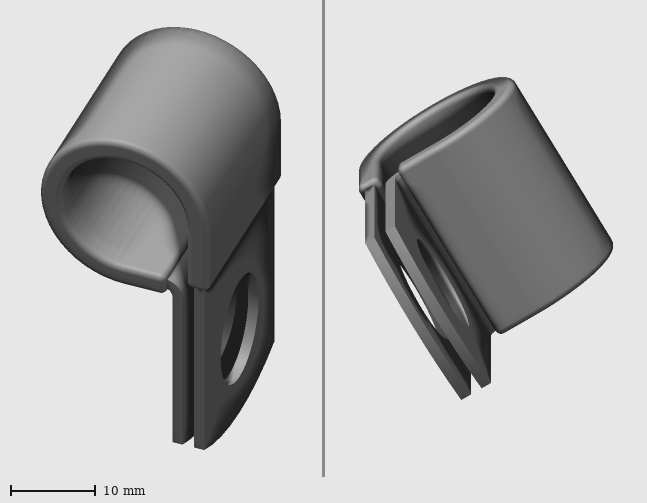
import cadquery as cq
import math

loop_radius = 21.5 / 2
cushion_length = 23.8
rubber = 0.75
outer_leg_end = -8.75
lower_leg_end = 5.3

strap_thickness = 1.3
strap_width = cushion_length - 2 * rubber
wall = strap_thickness + 2 * rubber
bore_radius = loop_radius - wall
strap_outer = loop_radius - rubber
strap_inner = strap_outer - strap_thickness

tab_gap = 1.5
tab_bottom = loop_radius - 46.45
tab_end_sagitta = 2.55
bend_inner_radius = 1.1
bend_outer_radius = bend_inner_radius + strap_thickness
bolt_hole_diameter = 12.0
outer_hole_height = 14.5
bolt_hole_z = -23.05

inner_tab_right = strap_inner - tab_gap
inner_tab_left = inner_tab_right - strap_thickness
bend_x = inner_tab_right - bend_outer_radius
bend_z = -strap_inner - bend_outer_radius
diagonal = math.sqrt(0.5)


def make_cushion():
    """Three-quarter ring with two straight legs and all rims rounded."""
    body = (
        cq.Workplane("XZ")
        .moveTo(loop_radius, outer_leg_end)
        .lineTo(loop_radius, 0)
        .threePointArc((-loop_radius * diagonal, loop_radius * diagonal), (0, -loop_radius))
        .lineTo(lower_leg_end, -loop_radius)
        .lineTo(lower_leg_end, -bore_radius)
        .lineTo(0, -bore_radius)
        .threePointArc((-bore_radius * diagonal, bore_radius * diagonal), (bore_radius, 0))
        .lineTo(bore_radius, outer_leg_end)
        .close()
        .extrude(cushion_length / 2, both=True)
    )
    outer_tip = cq.selectors.BoxSelector(
        (bore_radius - rubber, -cushion_length, outer_leg_end - rubber),
        (loop_radius + rubber, cushion_length, outer_leg_end + rubber),
    )
    lower_tip = cq.selectors.BoxSelector(
        (lower_leg_end - rubber, -cushion_length, -loop_radius - rubber),
        (lower_leg_end + rubber, cushion_length, -bore_radius + rubber),
    )
    rims = body.faces("<Y or >Y").edges()
    tips = body.edges("|Y").edges(outer_tip + lower_tip)
    return rims.add(tips).fillet(rubber)


def make_tabs():
    """Straight outer tab and bent inner tab, trimmed to a curved end; round and oval bolt holes."""
    outer_tab = (
        cq.Workplane("XY")
        .box(strap_thickness, strap_width, -tab_bottom, centered=(False, True, False))
        .translate((strap_inner, 0, tab_bottom))
    )
    inner_tab = (
        cq.Workplane("XZ")
        .moveTo(0, -strap_inner)
        .lineTo(bend_x, -strap_inner)
        .threePointArc(
            (bend_x + bend_outer_radius * diagonal, bend_z + bend_outer_radius * diagonal),
            (inner_tab_right, bend_z),
        )
        .lineTo(inner_tab_right, tab_bottom)
        .lineTo(inner_tab_left, tab_bottom)
        .lineTo(inner_tab_left, bend_z)
        .threePointArc(
            (bend_x + bend_inner_radius * diagonal, bend_z + bend_inner_radius * diagonal),
            (bend_x, -strap_outer),
        )
        .lineTo(0, -strap_outer)
        .close()
        .extrude(strap_width / 2, both=True)
    )
    half_width = strap_width / 2
    face_outline = (
        cq.Workplane("YZ")
        .moveTo(-half_width, 0)
        .lineTo(-half_width, tab_bottom + tab_end_sagitta)
        .threePointArc((0, tab_bottom), (half_width, tab_bottom + tab_end_sagitta))
        .lineTo(half_width, 0)
        .close()
        .extrude(loop_radius)
    )
    round_hole = (
        cq.Workplane("YZ")
        .center(0, bolt_hole_z)
        .circle(bolt_hole_diameter / 2)
        .extrude(loop_radius)
    )
    oval_hole = (
        cq.Workplane("YZ")
        .center(0, bolt_hole_z)
        .ellipse(bolt_hole_diameter / 2, outer_hole_height / 2)
        .extrude(loop_radius)
    )
    inner_tab = inner_tab.intersect(face_outline).cut(round_hole)
    outer_tab = outer_tab.intersect(face_outline).cut(oval_hole)
    return inner_tab, outer_tab


inner_tab, outer_tab = make_tabs()
result = make_cushion().union(inner_tab).union(outer_tab)